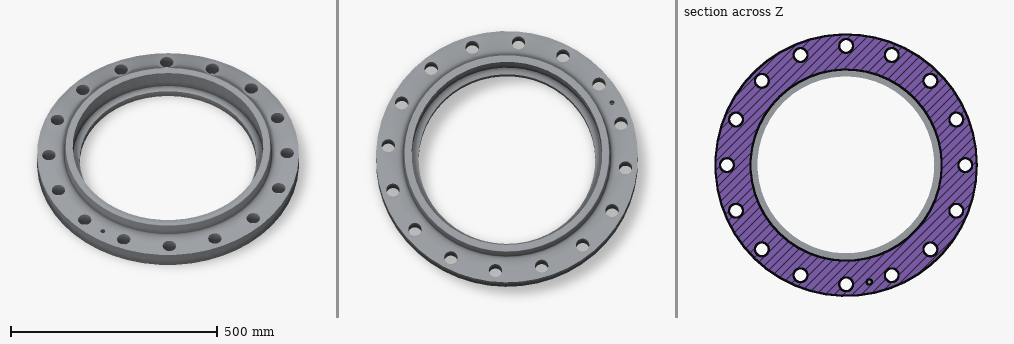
import cadquery as cq
import math

flange_diameter = 635.0
flange_thickness = 38.0

total_height = 66.5
hub_base_diameter = 504.5
hub_top_diameter = 496.5
hub_fillet = 2.0

bore_diameter = 428.5
counterbore_diameter = 462.0
counterbore_depth = 49.0

bolt_count = 16
bolt_circle_diameter = 578.0
bolt_hole_diameter = 32.5
bolt_pitch_angle = 360.0 / bolt_count

jack_hole_diameter = 12.0
jack_hole_depth = 19.0
jack_pilot_diameter = 6.5
jack_pilot_depth = 25.5
jack_hole_angle = -90.0 + bolt_pitch_angle / 2


def disc(diameter, height, base_z):
    return cq.Workplane("XY").workplane(offset=base_z).circle(diameter / 2).extrude(height)


def make_body():
    """Flange plate and tapered hub, turned in one piece around Z."""
    flange_radius = flange_diameter / 2
    base_radius = hub_base_diameter / 2
    top_radius = hub_top_diameter / 2
    body = (
        cq.Workplane("XZ")
        .polyline(
            [
                (0, 0),
                (flange_radius, 0),
                (flange_radius, flange_thickness),
                (base_radius, flange_thickness),
                (top_radius, total_height),
                (0, total_height),
            ]
        )
        .close()
        .revolve(360, (0, 0, 0), (0, 1, 0))
    )
    hub_top_edge = cq.selectors.RadiusNthSelector(0)
    hub_root_edge = cq.selectors.RadiusNthSelector(1)
    return body.edges(hub_top_edge + hub_root_edge).fillet(hub_fillet)


def make_stepped_bore():
    counterbore = disc(counterbore_diameter, counterbore_depth, total_height - counterbore_depth)
    return disc(bore_diameter, total_height, 0).union(counterbore)


def make_bolt_holes():
    return (
        cq.Workplane("XY")
        .polarArray(bolt_circle_diameter / 2, 0, 360, bolt_count)
        .circle(bolt_hole_diameter / 2)
        .extrude(flange_thickness)
    )


def make_jack_hole():
    """Blind hole on the bolt circle with a narrower pilot at its bottom."""
    angle = math.radians(jack_hole_angle)
    centre_x = bolt_circle_diameter / 2 * math.cos(angle)
    centre_y = bolt_circle_diameter / 2 * math.sin(angle)
    hole = disc(jack_hole_diameter, jack_hole_depth, flange_thickness - jack_hole_depth)
    pilot = disc(jack_pilot_diameter, jack_pilot_depth, flange_thickness - jack_pilot_depth)
    return hole.union(pilot).translate((centre_x, centre_y, 0))


result = make_body().cut(make_stepped_bore()).cut(make_bolt_holes()).cut(make_jack_hole())